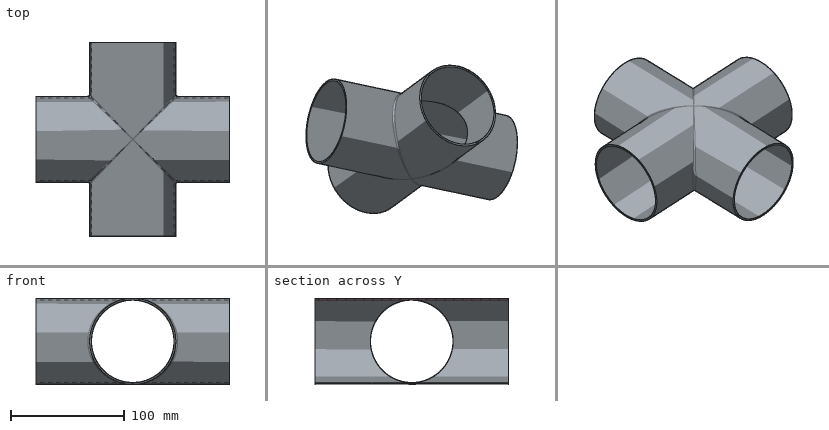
import cadquery as cq

outer_diameter = 76.2
bore_diameter = 72.9
overall_length = 171.45
seam_fillet_radius = 1.6

selection_margin = 1.0
seam_reach = outer_diameter / 2 + selection_margin


def crossed_cylinders(diameter):
    """Two equal cylinders along X and Y, crossing at the origin."""
    radius = diameter / 2
    half_length = overall_length / 2
    along_x = cq.Workplane("YZ").circle(radius).extrude(half_length, both=True)
    along_y = cq.Workplane("XZ").circle(radius).extrude(half_length, both=True)
    return along_x.union(along_y)


def blend_seams(cross):
    """Round the inside corners along the seams where the pipes meet."""
    low_corner = (-seam_reach, -seam_reach, -seam_reach)
    high_corner = (seam_reach, seam_reach, seam_reach)
    seams = cross.edges(cq.selectors.BoxSelector(low_corner, high_corner))
    return seams.fillet(seam_fillet_radius)


outside = blend_seams(crossed_cylinders(outer_diameter))
bores = crossed_cylinders(bore_diameter)
result = outside.cut(bores)